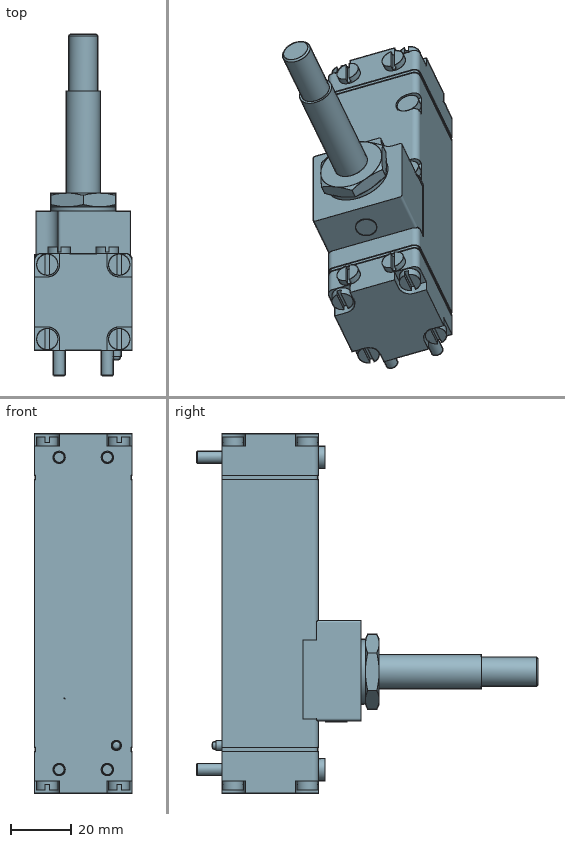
import cadquery as cq
import math


body_width = 32.4
body_depth = 32.0
body_height = 119.0
back_edge_radius = 2.1
joint_height = 45.0
joint_width = 1.4
joint_depth = 0.2

corner_inset_x = 4.3
corner_inset_y = 3.7
recess_radius = 4.0
corner_recess_depth = 4.0
corner_head_diameter = 7.0
corner_head_height = 3.0
corner_slot_width = 1.4
corner_slot_depth = 1.9

mount_spacing_x = 16.0
mount_spacing_z = 103.3
mount_head_diameter = 7.5
mount_head_height = 2.1
mount_slot_width = 1.2
mount_slot_depth = 1.7
mount_shank_diameter = 4.0
mount_shank_length = 8.5
mount_tip_chamfer = 0.4

pin_x = 11.0
pin_z = -43.7
pin_diameter = 3.3
pin_length = 2.0
pin_tip_diameter = 2.6
pin_tip_length = 3.2
pin_tip_radius = 0.8

cover_screw_x = -12.4
cover_screw_heights = (29.6, -4.2)
cover_recess_depth = 3.0
cover_head_height = 2.6

block_width = 31.4
block_top = -2.3
block_bottom = -35.6
block_back = 46.0
block_front = 26.9
block_edge_radius = 0.8
block_step_radius = 1.1
pocket_margin = 0.2
plug_diameter = 7.0
plug_height = 0.4
plug_y = 37.8

stem_z = -19.3
collar_diameter = 21.5
collar_end = 47.5
nut_flats = 21.5
nut_end = 52.0
nut_bevel_angle = 24.0
stem_diameter = 11.4
stem_step = 85.8
stem_tip_diameter = 9.8
stem_end = 104.6
stem_tip_chamfer = 0.6


def cylinder_y(x, z, diameter, y_start, y_end):
    """Cylinder along Y between two Y positions."""
    plane = cq.Plane(origin=(x, y_start, z), xDir=(1, 0, 0), normal=(0, 1, 0))
    return cq.Workplane(plane).circle(diameter / 2).extrude(y_end - y_start)


def box_between(x_range, y_range, z_range):
    """Axis-aligned box given by its limits."""
    lows, highs = zip(x_range, y_range, z_range)
    sizes = [high - low for low, high in zip(lows, highs)]
    return cq.Workplane("XY").box(*sizes, centered=False).translate(lows)


def body_section(width, depth, z_bottom, z_top, edge_radius=back_edge_radius):
    """Length of the body with rounded vertical edges at the back."""
    half = width / 2
    section = box_between((-half, half), (0, depth), (z_bottom, z_top))
    return section.edges("|Z and >Y").fillet(edge_radius)


def make_body():
    """Two end caps and a middle, with a shallow groove at each joint on the sides and back."""
    body = body_section(
        body_width - 2 * joint_depth,
        body_depth - joint_depth,
        -body_height / 2,
        body_height / 2,
        back_edge_radius - joint_depth,
    )
    middle_half = joint_height - joint_width / 2
    cap_start = joint_height + joint_width / 2
    body = body.union(body_section(body_width, body_depth, -middle_half, middle_half))
    body = body.union(body_section(body_width, body_depth, cap_start, body_height / 2))
    return body.union(body_section(body_width, body_depth, -body_height / 2, -cap_start))


def corner_recess(x, y):
    """Recess in the top of the body, open to both faces of the nearest corner."""
    floor = body_height / 2 - corner_recess_depth
    reach = 2 * recess_radius
    recess = box_between((-recess_radius, reach), (-recess_radius, reach), (floor, body_height / 2))
    recess = recess.edges("|Z and <X and <Y").fillet(recess_radius)
    if x < 0:
        recess = recess.mirror("YZ")
    if y < body_depth / 2:
        recess = recess.mirror("XZ")
    return recess.translate((x, y, 0))


def corner_screw(x, y):
    """Slotted screw head standing on the floor of a corner recess."""
    floor = body_height / 2 - corner_recess_depth
    top = floor + corner_head_height
    half_slot = corner_slot_width / 2
    radius = corner_head_diameter / 2
    head = cq.Workplane("XY", origin=(x, y, floor)).circle(radius).extrude(corner_head_height)
    slot = box_between(
        (x - half_slot, x + half_slot), (y - radius, y + radius), (top - corner_slot_depth, top)
    )
    return head.cut(slot)


def add_corner_screws(body):
    """Recess and screw head in all eight corners of the body."""
    x_offset = body_width / 2 - corner_inset_x
    for x in (-x_offset, x_offset):
        for y in (corner_inset_y, body_depth - corner_inset_y):
            recess = corner_recess(x, y)
            screw = corner_screw(x, y)
            body = body.cut(recess).cut(recess.mirror("XY"))
            body = body.union(screw).union(screw.mirror("XY"))
    return body


def mounting_screw(x, z):
    """Slotted head on the back face and the shank end standing out of the front face."""
    head_top = body_depth + mount_head_height
    half_slot = mount_slot_width / 2
    radius = mount_head_diameter / 2
    head = cylinder_y(x, z, mount_head_diameter, body_depth, head_top)
    slot = box_between(
        (x - half_slot, x + half_slot), (head_top - mount_slot_depth, head_top), (z - radius, z + radius)
    )
    shank = cylinder_y(x, z, mount_shank_diameter, -mount_shank_length, body_depth)
    shank = shank.faces("<Y").chamfer(mount_tip_chamfer)
    return head.cut(slot).union(shank)


def add_mounting_screws(body):
    """Four mounting screws in a rectangular pattern."""
    for x in (-mount_spacing_x / 2, mount_spacing_x / 2):
        for z in (-mount_spacing_z / 2, mount_spacing_z / 2):
            body = body.union(mounting_screw(x, z))
    return body


def add_locating_pin(body):
    """Pin with a narrower rounded tip, rooted at mid-depth of the body."""
    root = body_depth / 2
    shank = cylinder_y(pin_x, pin_z, pin_diameter, -pin_length, root)
    tip = cylinder_y(pin_x, pin_z, pin_tip_diameter, -pin_tip_length, root)
    tip = tip.faces("<Y").edges().fillet(pin_tip_radius)
    return body.union(shank).union(tip)


def add_cover_screws(body):
    """Round recesses open to the left side, each with a screw head inside."""
    floor = body_depth - cover_recess_depth
    for z in cover_screw_heights:
        recess = cylinder_y(cover_screw_x, z, 2 * recess_radius, floor, body_depth)
        opening = box_between(
            (-body_width / 2, cover_screw_x), (floor, body_depth), (z - recess_radius, z + recess_radius)
        )
        head = cylinder_y(cover_screw_x, z, mount_head_diameter, floor, floor + cover_head_height)
        body = body.cut(recess).cut(opening).union(head)
    return body


def make_block():
    """Block with its upper left corner hollowed around the lower cover screw."""
    half = block_width / 2
    arc_z = cover_screw_heights[-1]
    wall_x = cover_screw_x + recess_radius
    ledge_z = arc_z - recess_radius
    diagonal = recess_radius * math.sqrt(0.5)
    block = (
        cq.Workplane("XZ", origin=(0, block_back, 0))
        .moveTo(-half, block_bottom)
        .lineTo(half, block_bottom)
        .lineTo(half, block_top)
        .lineTo(wall_x, block_top)
        .lineTo(wall_x, arc_z)
        .threePointArc((cover_screw_x + diagonal, arc_z - diagonal), (cover_screw_x, ledge_z))
        .lineTo(-half, ledge_z)
        .close()
        .extrude(block_back - block_front)
    )
    block = block.edges("|Y and (<X or >X)").fillet(block_edge_radius)
    step_edge = cq.selectors.NearestToPointSelector((wall_x, (block_front + block_back) / 2, block_top))
    block = block.edges(step_edge).fillet(block_step_radius)
    plug = (
        cq.Workplane("XY", origin=(0, plug_y, block_bottom - plug_height))
        .circle(plug_diameter / 2)
        .extrude(2 * plug_height)
    )
    return block.union(plug)


def add_block(body):
    """Valve block let into a shallow pocket in each side of the body."""
    half = block_width / 2
    ledge_z = cover_screw_heights[-1] - recess_radius
    pocket_bottom = block_bottom + block_edge_radius - pocket_margin
    pocket_top = ledge_z - block_edge_radius + pocket_margin
    for x_range in ((-body_width / 2, -half), (half, body_width / 2)):
        pocket = box_between(x_range, (block_front, body_depth), (pocket_bottom, pocket_top))
        body = body.cut(pocket)
    return body.union(make_block())


def make_nut():
    """Hexagon nut with corners up and down, bevelled on both faces."""
    height = nut_end - collar_end
    corner_radius = nut_flats / math.sqrt(3)
    flat_radius = nut_flats / 2
    bevel = (corner_radius - flat_radius) * math.tan(math.radians(nut_bevel_angle))
    hexagon_turn = 30
    hexagon = (
        cq.Workplane("XY")
        .polygon(6, 2 * corner_radius)
        .extrude(height)
        .rotate((0, 0, 0), (0, 0, 1), hexagon_turn)
    )
    envelope = (
        cq.Workplane("XZ")
        .polyline(
            [
                (0, 0),
                (flat_radius, 0),
                (corner_radius, bevel),
                (corner_radius, height - bevel),
                (flat_radius, height),
                (0, height),
            ]
        )
        .close()
        .revolve(360, (0, 0, 0), (0, 1, 0))
    )
    nut = hexagon.intersect(envelope)
    return nut.rotate((0, 0, 0), (1, 0, 0), -90).translate((0, collar_end, stem_z))


def make_stem():
    """Collar, nut and stepped stem on one axis along Y."""
    collar = cylinder_y(0, stem_z, collar_diameter, block_back, collar_end)
    shaft = cylinder_y(0, stem_z, stem_diameter, block_back, stem_step)
    tip = cylinder_y(0, stem_z, stem_tip_diameter, block_back, stem_end)
    tip = tip.faces(">Y").chamfer(stem_tip_chamfer)
    return collar.union(make_nut()).union(shaft).union(tip)


result = make_body()
result = add_corner_screws(result)
result = add_mounting_screws(result)
result = add_locating_pin(result)
result = add_block(result)
result = add_cover_screws(result)
result = result.union(make_stem())